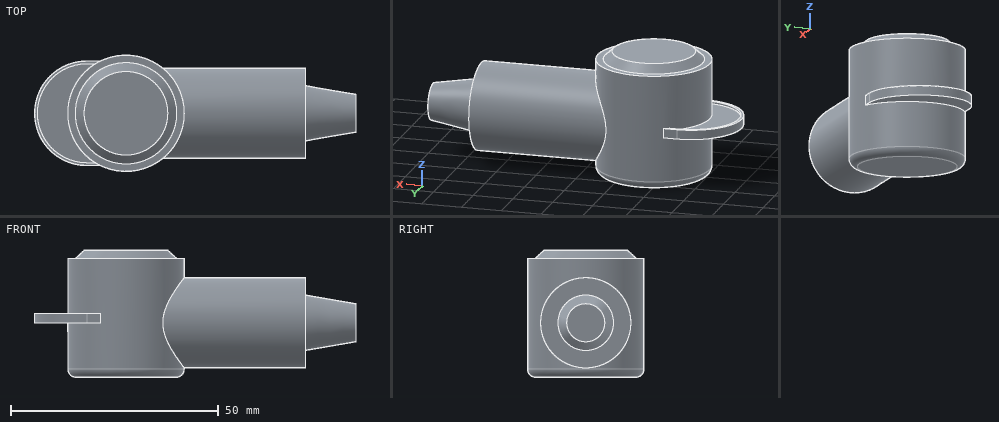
import cadquery as cq

CAP_RADIUS = 14.07
TOTAL_HEIGHT = 30.73
CROWN_HEIGHT = 2.0
CROWN_BASE_RADIUS = 12.25
CROWN_TOP_RADIUS = 10.1
BOTTOM_FILLET = 2.0
CAP_HEIGHT = TOTAL_HEIGHT - CROWN_HEIGHT

TOTAL_LENGTH = 77.65
ARM_RADIUS = 10.9
ARM_AXIS_HEIGHT = 13.2
ARM_END_X = 43.4
SPOUT_BASE_RADIUS = 6.7
SPOUT_TIP_RADIUS = 4.6

TAB_REACH = 22.1
TAB_RADIUS = 12.65
TAB_THICKNESS = 2.35
TAB_BOTTOM = 13.1
TAB_CENTER_X = TAB_RADIUS - TAB_REACH
RIM_WIDTH = 0.7
RECESS_DEPTH = 0.6

SPOUT_END_X = TOTAL_LENGTH - TAB_REACH


def make_cap():
    """Cylinder rounded at the bottom, with a conical crown on top."""
    body = cq.Workplane("XY").circle(CAP_RADIUS).extrude(CAP_HEIGHT)
    body = body.faces("<Z").edges().fillet(BOTTOM_FILLET)
    crown = (
        cq.Workplane("XY", origin=(0, 0, CAP_HEIGHT))
        .circle(CROWN_BASE_RADIUS)
        .workplane(offset=CROWN_HEIGHT)
        .circle(CROWN_TOP_RADIUS)
        .loft()
    )
    return body.union(crown)


def make_arm():
    """Round arm and its tapered spout, revolved about the arm axis."""
    return (
        cq.Workplane("XZ", origin=(0, 0, ARM_AXIS_HEIGHT))
        .moveTo(0, 0)
        .lineTo(0, ARM_RADIUS)
        .lineTo(ARM_END_X, ARM_RADIUS)
        .lineTo(ARM_END_X, SPOUT_BASE_RADIUS)
        .lineTo(SPOUT_END_X, SPOUT_TIP_RADIUS)
        .lineTo(SPOUT_END_X, 0)
        .close()
        .revolve(360, (0, 0, 0), (1, 0, 0))
    )


def tab_plate(radius, bottom, thickness):
    """Plate with a half-round -X end and straight sides running to the cap axis."""
    return (
        cq.Workplane("XY", origin=(0, 0, bottom))
        .moveTo(0, radius)
        .lineTo(TAB_CENTER_X, radius)
        .threePointArc((TAB_CENTER_X - radius, 0), (TAB_CENTER_X, -radius))
        .lineTo(0, -radius)
        .close()
        .extrude(thickness)
    )


def make_tab():
    """Tab plate with its top face recessed inside the rim."""
    floor = TAB_BOTTOM + TAB_THICKNESS - RECESS_DEPTH
    recess = tab_plate(TAB_RADIUS - RIM_WIDTH, floor, RECESS_DEPTH)
    return tab_plate(TAB_RADIUS, TAB_BOTTOM, TAB_THICKNESS).cut(recess)


result = make_tab().union(make_cap()).union(make_arm())